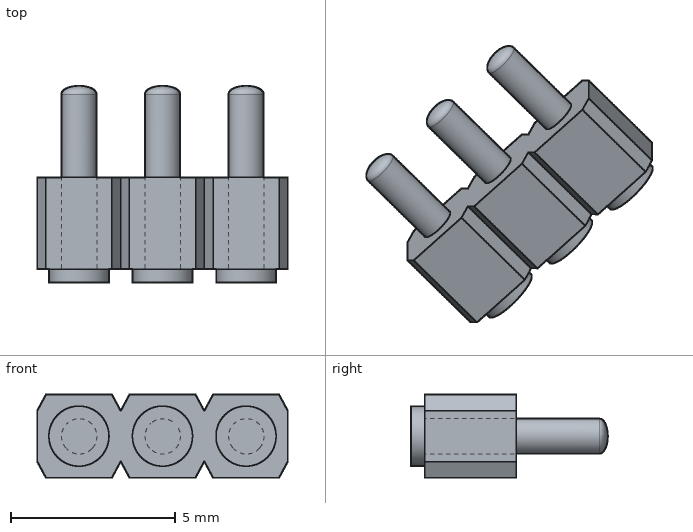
import cadquery as cq
import math

PIN_COUNT = 3
HOUSING_LENGTH = 7.62
PITCH = HOUSING_LENGTH / PIN_COUNT
HOUSING_HEIGHT = PITCH
HOUSING_DEPTH = 2.79
BEVEL_X = 0.27
BEVEL_Z = 0.495

HEAD_DIAMETER = 1.83
HEAD_THICKNESS = 0.41
SHANK_DIAMETER = 1.075
SHANK_PROJECTION = 2.79
DOME_HEIGHT = 0.26
DOME_CURVE_STEPS = 20

HALF_LENGTH = HOUSING_LENGTH / 2
HALF_HEIGHT = HOUSING_HEIGHT / 2
PIN_CENTERS = [(i - (PIN_COUNT - 1) / 2) * PITCH for i in range(PIN_COUNT)]


def top_edge():
    """Points along the top of the housing, left to right, dipping to a V between cells."""
    shoulder = HALF_HEIGHT - BEVEL_Z
    points = [(-HALF_LENGTH, shoulder)]
    for center in PIN_CENTERS:
        right_side = center + PITCH / 2
        left_side = center - PITCH / 2
        points.append((left_side + BEVEL_X, HALF_HEIGHT))
        points.append((right_side - BEVEL_X, HALF_HEIGHT))
        points.append((right_side, shoulder))
    return points


def make_housing():
    """Notched bar with its front face at Y = 0 and one through bore per pin."""
    top = top_edge()
    bottom = [(x, -z) for x, z in reversed(top)]
    bar = cq.Workplane("XZ").polyline(top + bottom).close().extrude(-HOUSING_DEPTH)
    bores = (
        cq.Workplane("XZ")
        .pushPoints([(x, 0) for x in PIN_CENTERS])
        .circle(SHANK_DIAMETER / 2)
        .extrude(-HOUSING_DEPTH)
    )
    return bar.cut(bores)


def make_pin(center_x):
    """Pin revolved about its own Y axis: head, shank and domed tip."""
    head_radius = HEAD_DIAMETER / 2
    shank_radius = SHANK_DIAMETER / 2
    tip_y = HOUSING_DEPTH + SHANK_PROJECTION
    dome_base_y = tip_y - DOME_HEIGHT

    def dome_point(t):
        """Quarter ellipse, tangent to the shank's side at t = 0 and level at the tip at t = 1."""
        angle = t * math.pi / 2
        return (
            shank_radius * math.cos(angle),
            dome_base_y + DOME_HEIGHT * math.sin(angle),
        )

    profile = (
        cq.Workplane("XY")
        .moveTo(0, -HEAD_THICKNESS)
        .lineTo(head_radius, -HEAD_THICKNESS)
        .lineTo(head_radius, 0)
        .lineTo(shank_radius, 0)
        .lineTo(shank_radius, dome_base_y)
        .parametricCurve(dome_point, N=DOME_CURVE_STEPS, makeWire=False)
        .lineTo(0, -HEAD_THICKNESS)
        .wire()
    )
    return profile.revolve(360, (0, 0, 0), (0, 1, 0)).translate((center_x, 0, 0))


housing = make_housing()
pins = [make_pin(x) for x in PIN_CENTERS]

result = cq.Compound.makeCompound([housing.val(), *[pin.val() for pin in pins]])